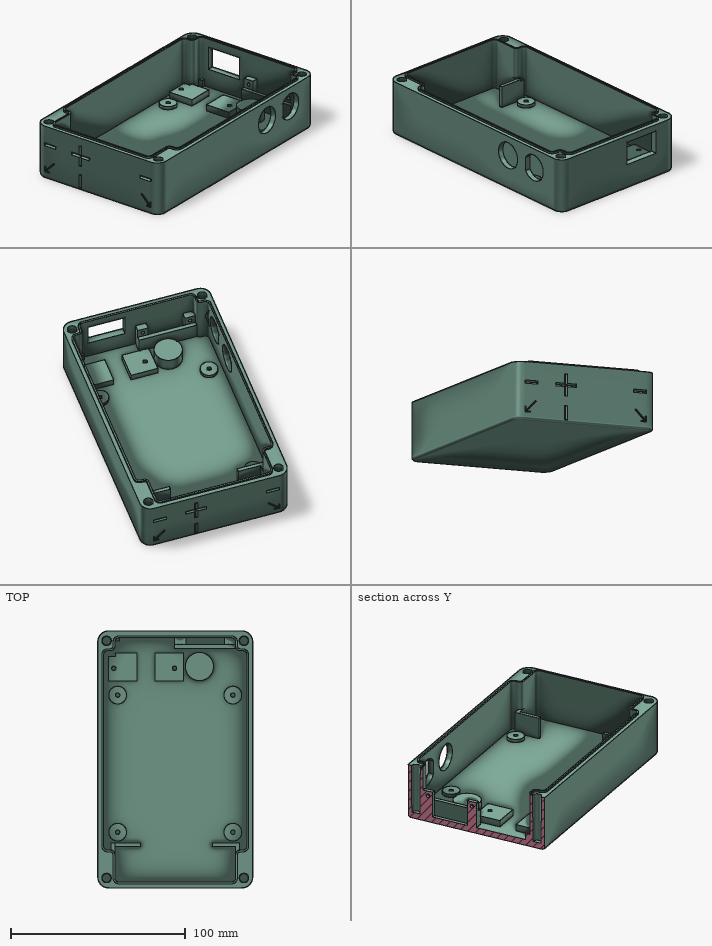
import cadquery as cq
import math

LENGTH_X = 88.8
LENGTH_Y = 147.3
TOTAL_HEIGHT = 34.8
LIP_HEIGHT = 1.0
BODY_HEIGHT = TOTAL_HEIGHT - LIP_HEIGHT
CORNER_RADIUS = 6.3
BOTTOM_FILLET = 1.9
FLOOR = 4.0

LIP_WIDTH = 1.0
SIDE_WALL = 3.4
BACK_WALL = 4.0
CAVITY_X = LENGTH_X / 2 - SIDE_WALL
CAVITY_FRONT = -LENGTH_Y / 2 + SIDE_WALL
CAVITY_BACK = LENGTH_Y / 2 - BACK_WALL
COLUMN_X = 34.6
COLUMN_BACK = 62.3
COLUMN_FRONT = -52.0
CAVITY_RADIUS = 2.5

SCREW_X = 39.3
SCREW_Y = 67.9
SCREW_TOP_DIAMETER = 5.5
SCREW_BOTTOM_DIAMETER = 5.0

STANDOFF_X = 33.0
STANDOFF_Y = (36.8, -41.7)
STANDOFF_DIAMETER = 10.2
STANDOFF_HEIGHT = 2.0
PILOT_DIAMETER = 2.5

PAD_WIDTH = 16.2
PAD_DEPTH = 15.9
PAD_HEIGHT = 4.0
PAD_FRONT = 45.0
PAD_LEFT_EDGES = (-38.2, -11.5)
PAD_PILOT_X = (-35.2, -0.5)
PAD_PILOT_Y = 52.2
PAD_NOTCH_X = -34.3
PAD_NOTCH_DEPTH = 1.8

CORNER_BLOCK_RIGHT = -31.8
CORNER_BLOCK_DEPTH = 1.9

PEDESTAL_CENTER = (13.8, 53.2)
PEDESTAL_DIAMETER = 16.2
PEDESTAL_HEIGHT = 8.0

BRACKET_LEFT = -0.3
POST_WIDTH = 6.3
POST_FRONT = 65.9
POST_HEIGHT = 15.9
POST_HOLE_DIAMETER = 2.0
POST_HOLE_Z = 16.8
PLATE_THICKNESS = 2.4
PLATE_HEIGHT = 10.0

RIB_BACK = -47.9
RIB_THICKNESS = 2.0
RIB_OUTER_X = 36.8
RIB_HEIGHT = 13.1
LEFT_RIB_END = -19.9
RIGHT_RIB_END = 21.2
LEFT_LEG_DROP = 1.0

WINDOW_LEFT = -29.0
WINDOW_RIGHT = -6.6
WINDOW_BOTTOM = 15.5
WINDOW_TOP = 29.6

JACK_DIAMETER = 16.2
JACK_Z = 21.7
ROUND_JACK_Y = 28.5
FLAT_JACK_Y = 50.4
JACK_FLAT_Y = 43.5
JACK_CLEARANCE_DIAMETER = 23.5

GROOVE_WIDTH = 1.9
CROSS_X = -12.4
CROSS_Z = 22.1
CROSS_LENGTH = 12.7
SIDE_MARK_END = LENGTH_X / 2 - CORNER_RADIUS
SIDE_MARK_LENGTH = 7.8
LOWER_MARK_TOP = 10.0
ARROW_TIP_X = 37.9
ARROW_TIP_Z = 4.9
ARROW_LENGTH = 9.1
ARROW_BARB = 3.0
ARROW_STROKE = 0.6
ARROW_DEPTH = 0.5


def block(x_range, y_range, z_range):
    """Box between the given limits on each axis."""
    spans = [limits[1] - limits[0] for limits in (x_range, y_range, z_range)]
    corner = (x_range[0], y_range[0], z_range[0])
    return cq.Workplane("XY").box(*spans, centered=False).translate(corner)


def post(center, diameter, bottom, height):
    """Vertical cylinder."""
    return cq.Workplane("XY", origin=(*center, bottom)).circle(diameter / 2).extrude(height)


def cross_cylinder(y, z, diameter, x_range):
    """Cylinder along X."""
    plane = cq.Workplane("YZ", origin=(x_range[0], y, z))
    return plane.circle(diameter / 2).extrude(x_range[1] - x_range[0])


def cavity_solid():
    right_side = [
        (COLUMN_X, CAVITY_FRONT),
        (COLUMN_X, COLUMN_FRONT),
        (CAVITY_X, COLUMN_FRONT),
        (CAVITY_X, COLUMN_BACK),
        (COLUMN_X, COLUMN_BACK),
        (COLUMN_X, CAVITY_BACK),
    ]
    left_side = [(-x, y) for x, y in reversed(right_side)]
    outline = cq.Workplane("XY", origin=(0, 0, FLOOR)).polyline(right_side + left_side).close()
    return outline.extrude(TOTAL_HEIGHT - FLOOR).edges("|Z").fillet(CAVITY_RADIUS)


def shell():
    body = cq.Workplane("XY").box(LENGTH_X, LENGTH_Y, TOTAL_HEIGHT, centered=(True, True, False))
    body = body.edges("|Z").fillet(CORNER_RADIUS)
    body = body.faces("<Z").edges().fillet(BOTTOM_FILLET)
    cavity = cavity_solid()
    lip_outline = cavity.faces("<Z").wires().val().offset2D(LIP_WIDTH)[0]
    inside_lip = cq.Workplane("XY").add(lip_outline).toPending().extrude(TOTAL_HEIGHT)
    ledge = block(
        (-LENGTH_X / 2, LENGTH_X / 2),
        (-LENGTH_Y / 2, LENGTH_Y / 2),
        (BODY_HEIGHT, TOTAL_HEIGHT),
    )
    return body.cut(ledge.cut(inside_lip)).cut(cavity)


def screw_hole(center):
    """Blind hole that narrows slightly towards the floor."""
    bottom_plane = cq.Workplane("XY", origin=(*center, FLOOR))
    bottom_circle = bottom_plane.circle(SCREW_BOTTOM_DIAMETER / 2)
    top_circle = bottom_circle.workplane(offset=BODY_HEIGHT - FLOOR).circle(SCREW_TOP_DIAMETER / 2)
    return top_circle.loft()


def pads():
    top = FLOOR + PAD_HEIGHT
    back = PAD_FRONT + PAD_DEPTH
    solid = cq.Workplane("XY")
    for left in PAD_LEFT_EDGES:
        solid = solid.union(block((left, left + PAD_WIDTH), (PAD_FRONT, back), (FLOOR, top)))
    notch = block((PAD_LEFT_EDGES[0], PAD_NOTCH_X), (back - PAD_NOTCH_DEPTH, back), (FLOOR, top))
    return solid.cut(notch)


def bracket():
    plate_y = (POST_FRONT - PLATE_THICKNESS, POST_FRONT)
    solid = block((BRACKET_LEFT, COLUMN_X), plate_y, (FLOOR, FLOOR + PLATE_HEIGHT))
    for left in (BRACKET_LEFT, COLUMN_X - POST_WIDTH):
        upright = block((left, left + POST_WIDTH), (POST_FRONT, CAVITY_BACK), (FLOOR, FLOOR + POST_HEIGHT))
        drill = cq.Workplane("XZ", origin=(left + POST_WIDTH / 2, CAVITY_BACK, POST_HOLE_Z))
        drill = drill.circle(POST_HOLE_DIAMETER / 2).extrude(CAVITY_BACK - POST_FRONT)
        solid = solid.union(upright.cut(drill))
    return solid


def ribs():
    bar_y = (RIB_BACK - RIB_THICKNESS, RIB_BACK)
    leg_y = (COLUMN_FRONT - CAVITY_RADIUS, RIB_BACK)
    bar_z = (FLOOR, FLOOR + RIB_HEIGHT)
    left_leg_z = (FLOOR, FLOOR + RIB_HEIGHT - LEFT_LEG_DROP)
    left_bar = block((-COLUMN_X, LEFT_RIB_END), bar_y, bar_z)
    left_leg = block((-RIB_OUTER_X, -COLUMN_X), leg_y, left_leg_z)
    right_bar = block((RIGHT_RIB_END, RIB_OUTER_X), bar_y, bar_z)
    right_leg = block((COLUMN_X, RIB_OUTER_X), leg_y, bar_z)
    return left_bar.union(left_leg).union(right_bar).union(right_leg)


def jack_openings():
    wall = (CAVITY_X, LENGTH_X / 2)
    round_jack = cross_cylinder(ROUND_JACK_Y, JACK_Z, JACK_DIAMETER, wall)
    flat_jack = cross_cylinder(FLAT_JACK_Y, JACK_Z, JACK_DIAMETER, wall)
    flat = block(wall, (FLAT_JACK_Y - JACK_DIAMETER, JACK_FLAT_Y), (0, BODY_HEIGHT))
    clearance = cross_cylinder(FLAT_JACK_Y, JACK_Z, JACK_CLEARANCE_DIAMETER, (COLUMN_X, CAVITY_X))
    return round_jack.union(flat_jack.cut(flat)).union(clearance)


def v_groove(start, end):
    """Right-angled V groove in the front face between two (x, z) points on a horizontal or vertical line."""
    middle_x = (start[0] + end[0]) / 2
    middle_z = (start[1] + end[1]) / 2
    length = math.dist(start, end)
    side = GROOVE_WIDTH / math.sqrt(2)
    if start[1] == end[1]:
        bar = cq.Workplane("XY").box(length, side, side).rotate((0, 0, 0), (1, 0, 0), 45)
    else:
        bar = cq.Workplane("XY").box(side, side, length).rotate((0, 0, 0), (0, 0, 1), 45)
    return bar.translate((middle_x, -LENGTH_Y / 2, middle_z))


def groove_marks():
    half = CROSS_LENGTH / 2
    side_start = SIDE_MARK_END - SIDE_MARK_LENGTH
    marks = v_groove((CROSS_X - half, CROSS_Z), (CROSS_X + half, CROSS_Z))
    marks = marks.union(v_groove((CROSS_X, CROSS_Z - half), (CROSS_X, CROSS_Z + half)))
    marks = marks.union(v_groove((CROSS_X, BOTTOM_FILLET), (CROSS_X, LOWER_MARK_TOP)))
    for side in (-1, 1):
        marks = marks.union(v_groove((side * side_start, CROSS_Z), (side * SIDE_MARK_END, CROSS_Z)))
    return marks


def arrow():
    """Engraved arrow pointing to the lower right corner of the front face."""
    strokes = cq.Workplane("XY")
    for length, angle in ((ARROW_LENGTH, 45), (ARROW_BARB, 0), (ARROW_BARB, 90)):
        stroke = block((-length, 0), (0, ARROW_DEPTH), (-ARROW_STROKE / 2, ARROW_STROKE / 2))
        strokes = strokes.union(stroke.rotate((0, 0, 0), (0, 1, 0), angle))
    return strokes.translate((ARROW_TIP_X, -LENGTH_Y / 2, ARROW_TIP_Z))


result = shell().union(pads()).union(bracket()).union(ribs())
result = result.union(post(PEDESTAL_CENTER, PEDESTAL_DIAMETER, FLOOR, PEDESTAL_HEIGHT))
for x in (-STANDOFF_X, STANDOFF_X):
    for y in STANDOFF_Y:
        standoff = post((x, y), STANDOFF_DIAMETER, FLOOR, STANDOFF_HEIGHT)
        result = result.union(standoff.cut(post((x, y), PILOT_DIAMETER, FLOOR, STANDOFF_HEIGHT)))
corner_block_y = (CAVITY_BACK - CORNER_BLOCK_DEPTH, CAVITY_BACK)
result = result.union(block((-COLUMN_X, CORNER_BLOCK_RIGHT), corner_block_y, (FLOOR, FLOOR + PAD_HEIGHT)))

for x in PAD_PILOT_X:
    result = result.cut(post((x, PAD_PILOT_Y), PILOT_DIAMETER, FLOOR, PAD_HEIGHT))
for x in (-SCREW_X, SCREW_X):
    for y in (-SCREW_Y, SCREW_Y):
        result = result.cut(screw_hole((x, y)))

window_y = (CAVITY_BACK, LENGTH_Y / 2)
result = result.cut(block((WINDOW_LEFT, WINDOW_RIGHT), window_y, (WINDOW_BOTTOM, WINDOW_TOP)))
result = result.cut(jack_openings())
result = result.cut(groove_marks())
result = result.cut(arrow()).cut(arrow().mirror("YZ"))